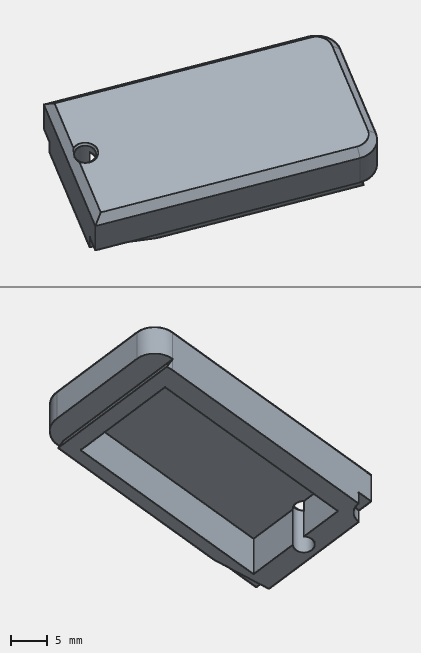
import cadquery as cq

width = 22.4
length = 41.4
height = 8.7
rear_corner_radius = 3.45
top_chamfer = 1.15

relief_height = 2.25
scallop_radius = 2.4
side_relief_front = 2.5
side_relief_rear = 1.1
side_relief_taper_length = 9.1
hook_relief_bottom = 2.5
hook_relief_top = 3.5

pocket_side_wall = 3.0
pocket_front_wall = 3.45
pocket_rear_wall = 4.95
roof_thickness = 1.6

hole_diameter = 3.0
hole_chamfer = 0.3
hole_x = 10.7
hole_y = 2.4


def make_block():
    """Block with rounded rear corners and a chamfered top edge."""
    block = cq.Workplane("XY").box(width, length, height, centered=False)
    block = block.edges("|Z and >Y").fillet(rear_corner_radius)
    return block.faces(">Z").edges().chamfer(top_chamfer)


def make_corner_scallop():
    """Quarter-round notch under the front left corner."""
    return cq.Workplane("XY").circle(scallop_radius).extrude(relief_height)


def make_side_relief():
    """Step along the right side, tapering from a deeper front end."""
    return (
        cq.Workplane("XY")
        .moveTo(width, 0)
        .lineTo(width - side_relief_front, 0)
        .lineTo(width - side_relief_rear, side_relief_taper_length)
        .lineTo(width - side_relief_rear, length)
        .lineTo(width, length)
        .close()
        .extrude(relief_height)
    )


def make_rear_hook_relief():
    """Undercut across the rear, sloping inward toward its top."""
    return (
        cq.Workplane("YZ")
        .moveTo(length, 0)
        .lineTo(length - hook_relief_bottom, 0)
        .lineTo(length - hook_relief_top, relief_height)
        .lineTo(length, relief_height)
        .close()
        .extrude(width)
    )


def make_pocket():
    """Rectangular pocket open at the bottom; its front wall crosses the hole."""
    pocket = cq.Workplane("XY").box(
        width - 2 * pocket_side_wall,
        length - pocket_front_wall - pocket_rear_wall,
        height - roof_thickness,
        centered=False,
    )
    return pocket.translate((pocket_side_wall, pocket_front_wall, 0))


def make_hole():
    """Through hole with a 45 degree chamfer at the top face."""
    radius = hole_diameter / 2
    bore = cq.Workplane("XY").center(hole_x, hole_y).circle(radius).extrude(height)
    cone = cq.Solid.makeCone(
        radius,
        radius + hole_chamfer,
        hole_chamfer,
        pnt=cq.Vector(hole_x, hole_y, height - hole_chamfer),
    )
    return bore.union(cq.Workplane(cone))


result = (
    make_block()
    .cut(make_corner_scallop())
    .cut(make_side_relief())
    .cut(make_rear_hook_relief())
    .cut(make_pocket())
    .cut(make_hole())
)